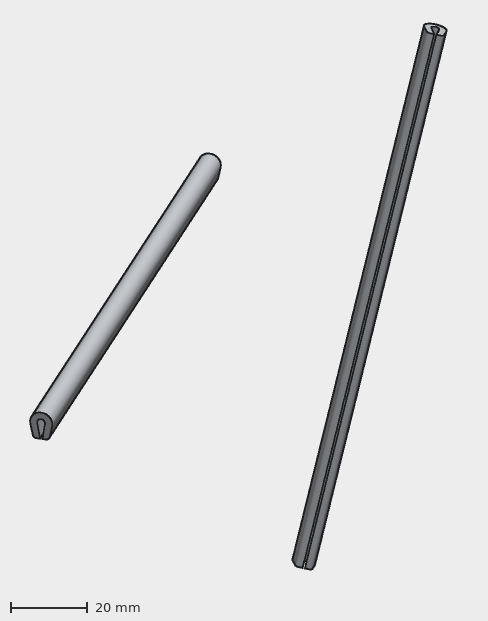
import cadquery as cq
import math

length = 152.4
height = 7.8
outer_radius = 3.0
arch_wall = 2.0
outer_lean = 12.0
channel_lean = 9.5
foot_round = 1.0

channel_radius = outer_radius - arch_wall
foot_z = outer_radius - height


def tapered_arch(radius, lean_degrees):
    """Solid arch along Y whose straight sides lean inward, tangent to the arch, down to the feet."""
    lean = math.radians(lean_degrees)
    shoulder_x = radius * math.cos(lean)
    shoulder_z = -radius * math.sin(lean)
    foot_x = (radius + foot_z * math.sin(lean)) / math.cos(lean)
    return (
        cq.Workplane("XZ")
        .moveTo(-foot_x, foot_z)
        .lineTo(-shoulder_x, shoulder_z)
        .threePointArc((0, radius), (shoulder_x, shoulder_z))
        .lineTo(foot_x, foot_z)
        .close()
        .extrude(length / 2, both=True)
    )


body = tapered_arch(outer_radius, outer_lean)
body = body.faces("<Z").edges("|Y").fillet(foot_round)

channel = tapered_arch(channel_radius, channel_lean)
result = body.cut(channel)